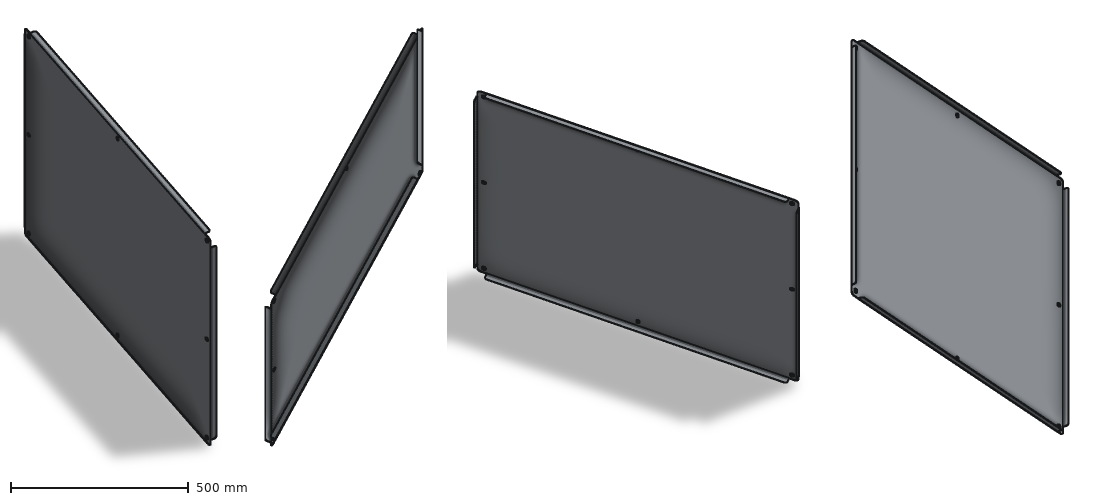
import cadquery as cq

width = 991.0
depth = 19.0
height = 838.0

thickness = 2.0
bend_radius = 4.0
inner_bend_radius = bend_radius - thickness

corner_inset = 3.0
corner_radius = 12.0

flange_setback = 32.0
flange_tip_radius = 7.0

hole_inset = 23.0
hole_diameter = 13.0
slot_length = 13.0
slot_width = 10.0


def make_face():
    """Flat sheet with rounded corners; its front lies on the plane y = 0."""
    return (
        cq.Workplane("XY")
        .box(width - 2 * corner_inset, thickness, height - 2 * corner_inset, centered=(True, False, True))
        .edges("|Y")
        .fillet(corner_radius)
    )


def make_flange(panel_length, edge_distance):
    """Flange along the top edge of a panel, with a rounded bend and rounded tips."""
    length = panel_length - 2 * flange_setback
    strip_height = 2 * bend_radius
    blank = (
        cq.Workplane("XY")
        .box(length, depth, strip_height, centered=(True, False, False))
        .translate((0, 0, edge_distance - strip_height))
        .edges("|X and <Y and >Z")
        .fillet(bend_radius)
    )
    hollow = (
        cq.Workplane("XY")
        .box(length, depth, strip_height, centered=(True, False, False))
        .translate((0, thickness, edge_distance - strip_height - thickness))
        .edges("|X and <Y and >Z")
        .fillet(inner_bend_radius)
    )
    return blank.cut(hollow).edges("|Z and >Y").fillet(flange_tip_radius)


def cut_front(panel, x, z, profile):
    """Cut a closed profile, drawn about the origin, through the flat face."""
    return panel.cut(profile.extrude(-thickness).translate((x, 0, z)))


result = make_face()

for angle, panel_length, edge_distance in (
    (0, width, height / 2),
    (180, width, height / 2),
    (90, height, width / 2),
    (270, height, width / 2),
):
    flange = make_flange(panel_length, edge_distance)
    result = result.union(flange.rotate((0, 0, 0), (0, 1, 0), angle))

hole_x = width / 2 - hole_inset
hole_z = height / 2 - hole_inset

for x in (-hole_x, hole_x):
    for z in (-hole_z, hole_z):
        result = cut_front(result, x, z, cq.Workplane("XZ").circle(hole_diameter / 2))

for x in (-hole_x, hole_x):
    result = cut_front(result, x, 0, cq.Workplane("XZ").slot2D(slot_length, slot_width))

for z in (-hole_z, hole_z):
    result = cut_front(result, 0, z, cq.Workplane("XZ").slot2D(slot_length, slot_width, 90))